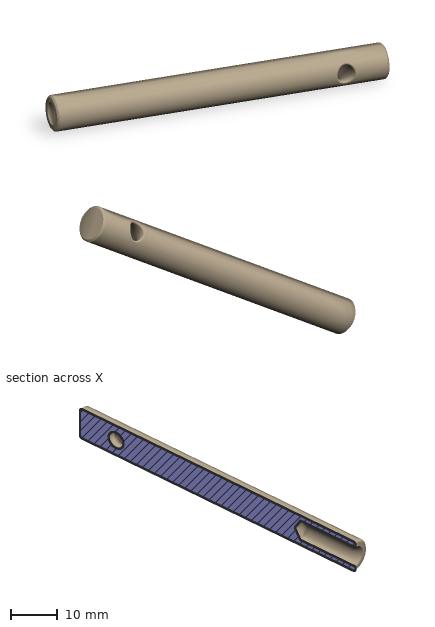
import cadquery as cq
import math

length = 76.2
diameter = 8.0
end_chamfer = 0.4

bore_diameter = 5.0
bore_depth = 15.25
drill_point_angle = 118.0

cross_diameter = 4.0
cross_from_end = 10.0
rim_fillet = 0.3

radius = diameter / 2
front_y = -length / 2
cross_y = length / 2 - cross_from_end


def make_rod():
    rod = cq.Workplane("XZ").circle(radius).extrude(length / 2, both=True)
    return rod.faces("<Y or >Y").chamfer(end_chamfer)


def make_bore():
    """Cylinder with a conical drill point, revolved about the Y axis."""
    bore_radius = bore_diameter / 2
    point_depth = bore_radius / math.tan(math.radians(drill_point_angle / 2))
    shoulder_y = front_y + bore_depth
    profile = (
        cq.Workplane("XY")
        .moveTo(0, front_y)
        .lineTo(bore_radius, front_y)
        .lineTo(bore_radius, shoulder_y)
        .lineTo(0, shoulder_y + point_depth)
        .close()
    )
    return profile.revolve(360, (0, 0, 0), (0, 1, 0))


def make_cross_hole():
    hole = cq.Workplane("YZ").center(cross_y, 0).circle(cross_diameter / 2)
    return hole.extrude(diameter, both=True)


def rim_box():
    """Region around the cross hole that picks out its two rims."""
    reach = cross_diameter
    low = (-diameter, cross_y - reach, -reach)
    high = (diameter, cross_y + reach, reach)
    return cq.selectors.BoxSelector(low, high, boundingbox=True)


cross_drilled_rod = make_rod().cut(make_cross_hole())
rounded_rod = cross_drilled_rod.edges(rim_box()).edges("not |X").fillet(rim_fillet)
result = rounded_rod.cut(make_bore())